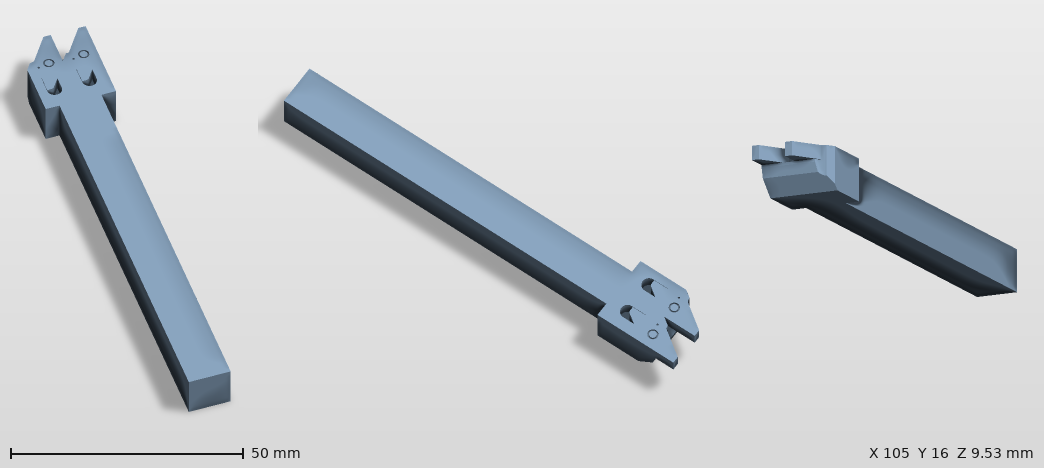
import cadquery as cq
import math


total_length = 105.0
head_end_x = 20.0
head_width = 16.0
height = 9.53
shank_width = 9.53
shank_low_y = 3.15

front_x = 4.85
relief_start_z = -3.8
relief_end_z = -6.0
relief_angle = 15.0
relief_end_x = front_x + (relief_start_z - relief_end_z) * math.tan(math.radians(relief_angle))
chin_end_x = 9.2
shoulder_x = 6.25
shoulder_radius = 2.2
flank_clearance = 0.28

insert_pitch = 7.94
insert_thickness = 3.175
insert_width = 5.94
insert_length = 14.9
nose_width = 1.66
insert_top_length = 8.4
insert_angle = 35.0
insert_slope = math.tan(math.radians(insert_angle))
tail_radius = 1.0
insert_top_edges = [head_width, head_width - insert_pitch]

screw_x = 7.55
screw_drop = 3.05
ring_outer_radius = 1.2
ring_inner_radius = 0.85
ring_depth = 0.5
mark_x = 8.1
mark_drop = 5.55
mark_radius = 0.25
mark_depth = 0.5
slot_width = 3.25
slot_drop = 4.38
slot_end_x = 16.8
slot_start_x = 10.0

gap_wall_x = 6.1
gap_wall_y = 9.4


def extrude_down(outline, depth):
    """Closed XY outline extruded from the top face downwards."""
    return cq.Workplane("XY").polyline(outline).close().extrude(-depth)


def make_shank():
    return cq.Workplane("XY").box(
        total_length - head_end_x, shank_width, height, centered=False
    ).translate((head_end_x, shank_low_y, -height))


def make_head():
    """Head plan with an angled low corner and rounded shoulder, trimmed to the front end profile."""
    flank_start_y = insert_top_edges[1] - nose_width + flank_clearance
    flank_corner_y = flank_start_y - shoulder_x * insert_slope

    arc_sweep = math.radians(90.0 - insert_angle)
    arc_centre_x = shoulder_x - shoulder_radius
    arc_centre_y = flank_corner_y - shoulder_radius * math.tan(arc_sweep / 2)

    def arc_point(angle):
        return (
            arc_centre_x + shoulder_radius * math.cos(angle),
            arc_centre_y + shoulder_radius * math.sin(angle),
        )

    plan = (
        cq.Workplane("XY")
        .moveTo(front_x, head_width)
        .lineTo(front_x, flank_start_y - front_x * insert_slope)
        .lineTo(*arc_point(arc_sweep))
        .threePointArc(arc_point(arc_sweep / 2), arc_point(0))
        .lineTo(shoulder_x + arc_centre_y / insert_slope, 0)
        .lineTo(head_end_x, 0)
        .lineTo(head_end_x, head_width)
        .close()
        .extrude(-height)
    )
    side_profile = (
        cq.Workplane("XZ")
        .polyline(
            [
                (front_x, 0),
                (front_x, relief_start_z),
                (relief_end_x, relief_end_z),
                (chin_end_x, -height),
                (head_end_x, -height),
                (head_end_x, 0),
            ]
        )
        .close()
        .extrude(-head_width)
    )
    return plan.intersect(side_profile)


def make_gap():
    """Recess in front of the wall between the two inserts."""
    low_y = insert_top_edges[1]
    wall_end_x = gap_wall_x + (gap_wall_y - low_y) / insert_slope
    return extrude_down(
        [(0, low_y), (wall_end_x, low_y), (gap_wall_x, gap_wall_y), (gap_wall_x, head_width), (0, head_width)],
        insert_thickness,
    )


def make_insert(top_y):
    low_y = top_y - insert_width
    tail_corner_y = top_y - (insert_length - insert_top_length) * insert_slope
    insert = extrude_down(
        [
            (0, top_y),
            (0, top_y - nose_width),
            ((insert_width - nose_width) / insert_slope, low_y),
            (insert_length, low_y),
            (insert_length, tail_corner_y),
            (insert_top_length, top_y),
        ],
        insert_thickness,
    )
    tail_corner = cq.selectors.NearestToPointSelector((insert_length, tail_corner_y, -insert_thickness / 2))
    return insert.edges("|Z").edges(tail_corner).fillet(tail_radius)


def make_slot(top_y):
    """Round-ended clearance slot behind an insert."""
    return (
        cq.Workplane("XY")
        .center((slot_start_x + slot_end_x) / 2, top_y - slot_drop)
        .slot2D(slot_end_x - slot_start_x, slot_width)
        .extrude(-insert_thickness)
    )


def make_screw_ring(top_y):
    """Shallow ring groove around the flush screw."""
    return (
        cq.Workplane("XY")
        .center(screw_x, top_y - screw_drop)
        .circle(ring_outer_radius)
        .circle(ring_inner_radius)
        .extrude(-ring_depth)
    )


def make_mark(top_y):
    """Small blind dimple near the low edge of an insert."""
    return cq.Workplane("XY").center(mark_x, top_y - mark_drop).circle(mark_radius).extrude(-mark_depth)


result = make_head().union(make_shank()).cut(make_gap())
for top_edge_y in insert_top_edges:
    result = result.cut(make_slot(top_edge_y))
    result = result.union(make_insert(top_edge_y))
    result = result.cut(make_screw_ring(top_edge_y))
    result = result.cut(make_mark(top_edge_y))